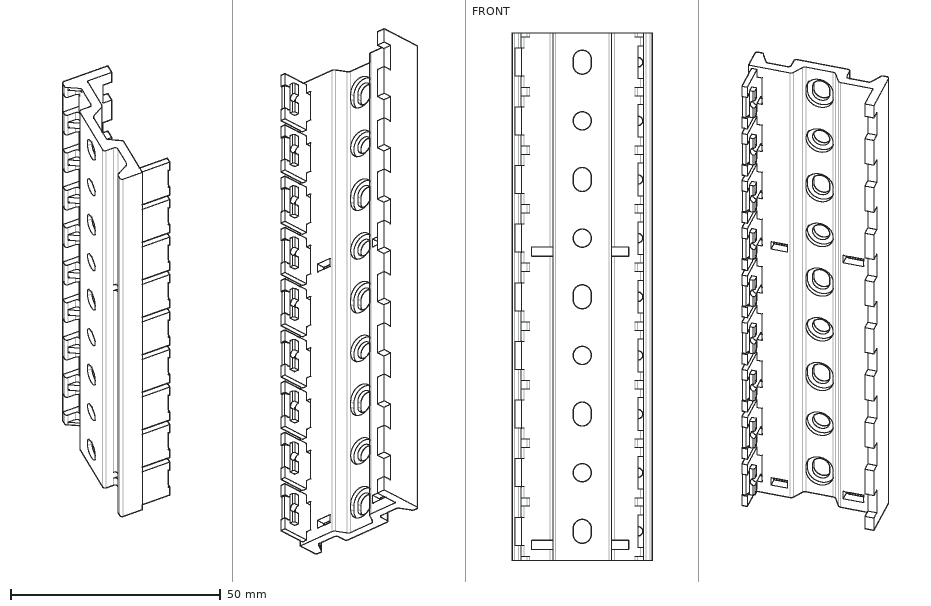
import cadquery as cq
import math

length = 126.0
width = 33.5
half_width = width / 2
pitch_count = 9
pitch = length / pitch_count

web_bottom = 3.4
web_top = 5.7
boss_width = 14.0
boss_half_width = boss_width / 2
boss_round = 0.6
boss_inner_round = 0.8
channel_floor = 2.3
channel_half_width = 3.9
channel_slope = math.radians(60)
channel_round = 0.9
foot_width = 2.1
foot_round = 0.6
foot_inner_round = 0.8

left_wall_top = 12.1
left_wall_thickness = 2.3
right_wall_top = 13.2
right_wall_thickness = 1.4
right_wall_inset = 0.8

rib_width = 2.0
rib_foot_reach = 2.0
rib_foot_rise = 0.4
rib_toe_reach = 3.8
rib_toe_round = 0.6
rib_embed = 1.3

hole_diameter = 4.3
obround_length = 5.7
counterbore_diameter = 6.8
counterbore_floor = 1.1
slot_height = 2.1
low_slot_z = 3.8
slot_spacing = 5 * pitch
left_slot_inset = 4.7
right_slot_inset = 5.7

window_height = 6.7
window_sill = 9.8
foot_lip = 0.8
relief_top = web_top

nose_length = 7.8
nose_reach = 1.3
nose_bottom = 9.8
nose_top = 11.5
nose_bevel = 0.4
nose_notch_diameter = 2.1
middle_length = 6.3
middle_top = 12.9
middle_lean = 0.5
tooth_gap = 1.6

right_wall_outer = half_width - right_wall_inset
right_wall_inner = right_wall_outer - right_wall_thickness
bay_centres = [(i + 0.5) * pitch for i in range(pitch_count)]
rib_centres = [i * pitch for i in range(pitch_count + 1)]


def box(x0, x1, y0, y1, z0, z1):
    """Box between two limits along each axis."""
    return cq.Workplane("XY").box(x1 - x0, y1 - y0, z1 - z0, centered=False).translate((x0, y0, z0))


def bay_box(x0, x1, y0, y1, z_centre, height):
    """Box centred on a height along the rail."""
    return box(x0, x1, y0, y1, z_centre - height / 2, z_centre + height / 2)


def round_lengthwise(body, radius, points):
    """Round the lengthwise edges passing through the given section points."""
    for x, y in points:
        edge = cq.selectors.NearestToPointSelector((x, y, length / 2))
        body = body.edges("|Z").edges(edge).fillet(radius)
    return body


def mirrored(x, y):
    """The same section point on the left and right halves."""
    return [(-x, y), (x, y)]


def rail_section():
    """Web, boss and feet with both side walls at full height."""
    channel_top_half = channel_half_width + (web_top - channel_floor) / math.tan(channel_slope)
    foot_inner = half_width - foot_width
    outline = [
        (-half_width, 0),
        (-foot_inner, 0),
        (-foot_inner, web_bottom),
        (-boss_half_width, web_bottom),
        (-boss_half_width, 0),
        (boss_half_width, 0),
        (boss_half_width, web_bottom),
        (foot_inner, web_bottom),
        (foot_inner, 0),
        (half_width, 0),
        (half_width, web_top),
        (right_wall_outer, web_top),
        (right_wall_outer, right_wall_top),
        (right_wall_inner, right_wall_top),
        (right_wall_inner, web_top),
        (channel_top_half, web_top),
        (channel_half_width, channel_floor),
        (-channel_half_width, channel_floor),
        (-channel_top_half, web_top),
        (left_wall_thickness - half_width, web_top),
        (left_wall_thickness - half_width, left_wall_top),
        (-half_width, left_wall_top),
    ]
    body = cq.Workplane("XY").polyline(outline).close().extrude(length)
    body = round_lengthwise(body, channel_round, mirrored(channel_top_half, web_top))
    body = round_lengthwise(body, channel_round, mirrored(channel_half_width, channel_floor))
    body = round_lengthwise(body, boss_round, mirrored(boss_half_width, 0))
    body = round_lengthwise(body, boss_inner_round, mirrored(boss_half_width, web_bottom))
    body = round_lengthwise(body, foot_inner_round, mirrored(foot_inner, web_bottom))
    foot_edges = mirrored(half_width, 0) + mirrored(foot_inner, 0)
    return round_lengthwise(body, foot_round, foot_edges)


def ribs():
    """Left and right gusset ribs at every pitch, halved at the two ends."""
    toe_end = rib_toe_reach + rib_embed
    start = foot_width / 2
    embedded_top = web_bottom + rib_embed
    outline = [
        (start, rib_foot_rise),
        (rib_foot_reach, rib_foot_rise),
        (rib_toe_reach, web_bottom),
        (toe_end, web_bottom),
        (toe_end, embedded_top),
        (start, embedded_top),
    ]
    blank = cq.Workplane("XY").polyline(outline).close().extrude(rib_width)
    toe = cq.selectors.NearestToPointSelector((rib_toe_reach, web_bottom, rib_width / 2))
    blank = blank.edges("|Z").edges(toe).fillet(rib_toe_round)
    left = blank.translate((-half_width, 0, -rib_width / 2))
    pair = left.union(left.mirror("YZ"))
    rail_span = box(-half_width, half_width, 0, web_top, 0, length)
    every_rib = cq.Workplane("XY")
    for z in rib_centres:
        every_rib = every_rib.add(pair.translate((0, 0, z)).intersect(rail_span))
    return every_rib.combine()


def hole_row(diameter, slot_length, depth):
    """Upright obrounds and round plugs in turn, sunk to a depth below the channel floor."""
    plane = cq.Workplane("XZ", origin=(0, channel_floor, 0))
    obrounds = plane.pushPoints([(0, z) for z in bay_centres[::2]])
    obrounds = obrounds.slot2D(slot_length, diameter, 90).extrude(depth)
    rounds = plane.pushPoints([(0, z) for z in bay_centres[1::2]])
    return obrounds.union(rounds.circle(diameter / 2).extrude(depth))


def boss_holes():
    """Alternating upright obrounds and round holes, each counterbored from the channel floor."""
    widening = counterbore_diameter - hole_diameter
    bores = hole_row(hole_diameter, obround_length, channel_floor)
    counterbore_depth = channel_floor - counterbore_floor
    return bores.union(
        hole_row(counterbore_diameter, obround_length + widening, counterbore_depth)
    )


def web_slots():
    """Cross slots from the boss flanks outwards, through the web."""
    slots = cq.Workplane("XY")
    for z in (low_slot_z, low_slot_z + slot_spacing):
        slots = slots.add(
            bay_box(left_slot_inset - half_width, -boss_half_width, 0, web_top, z, slot_height)
        )
        slots = slots.add(
            bay_box(boss_half_width, half_width - right_slot_inset, 0, web_top, z, slot_height)
        )
    return slots.combine()


def left_bay_cut(z):
    """Wall window open at the rim, and a blind relief below it that thins the foot to a lip."""
    wall_inner = left_wall_thickness - half_width
    window = bay_box(-half_width, wall_inner, window_sill, left_wall_top, z, window_height)
    outer = foot_lip - half_width
    relief = bay_box(outer, wall_inner, 0, relief_top, z, window_height)
    round_end = foot_width + foot_inner_round - half_width
    corner = bay_box(outer, round_end, 0, web_bottom, z, window_height)
    return window.union(relief).union(corner)


def right_bay_cut(z):
    """Opening through the web under the nose, and the leaning middle of the wall."""
    tip = right_wall_inner - nose_reach
    opening = bay_box(tip, right_wall_inner, 0, web_top, z, nose_length)
    lean_profile = [
        (right_wall_inner, nose_top),
        (right_wall_inner + middle_lean, middle_top),
        (right_wall_outer, middle_top),
        (right_wall_outer, right_wall_top),
        (right_wall_inner, right_wall_top),
    ]
    lean = cq.Workplane("XY", origin=(0, 0, z - middle_length / 2))
    return opening.union(lean.polyline(lean_profile).close().extrude(middle_length))


def tooth_gap_cut(z):
    """Gap in the right wall, down to the web, between the teeth of neighbouring bays."""
    return bay_box(right_wall_inner, right_wall_outer, web_top, right_wall_top, z, tooth_gap)


def nose(z):
    """Bevelled latch nose with a round notch across its middle."""
    tip = right_wall_inner - nose_reach
    profile = [
        (right_wall_inner, nose_bottom),
        (tip, nose_bottom),
        (tip, nose_top - nose_bevel),
        (tip + nose_bevel, nose_top),
        (right_wall_inner, nose_top),
    ]
    body = cq.Workplane("XY", origin=(0, 0, z - nose_length / 2))
    body = body.polyline(profile).close().extrude(nose_length)
    notch = cq.Workplane("XZ", origin=(tip, nose_top, z)).circle(nose_notch_diameter / 2)
    return body.cut(notch.extrude(nose_top - nose_bottom))


result = rail_section().cut(boss_holes()).cut(web_slots())
for bay_z in bay_centres:
    result = result.cut(left_bay_cut(bay_z)).cut(right_bay_cut(bay_z)).union(nose(bay_z))
for rib_z in rib_centres:
    result = result.cut(tooth_gap_cut(rib_z))
result = result.union(ribs())